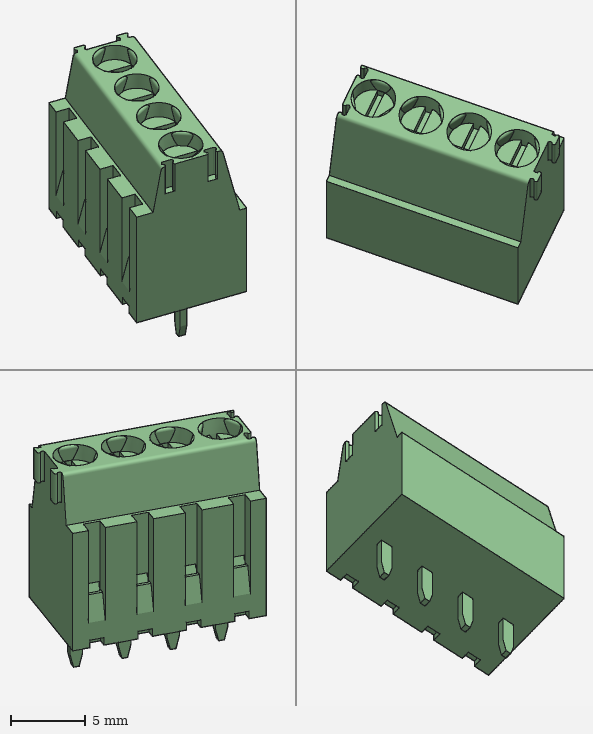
import cadquery as cq
import math

overall_height = 16.1
overall_width = 14.5
pole_count = 4
pole_pitch = 3.5
body_width = pole_count * pole_pitch
body_depth = 8.2
body_height = 12.6
mid_depth = body_depth / 2
pole_centres = [(index + 0.5) * pole_pitch for index in range(pole_count)]

front_shelf_height = 9.0
front_shelf_depth = 1.22
rear_shelf_height = 7.1
rear_shelf_depth = 0.52
top_front_y = 1.85
top_rear_y = 6.39
top_edge_radius = 0.3

hole_top_diameter = 3.0
screw_head_diameter = 2.8
hole_depth = 1.15
screw_slot_width = 0.5
screw_slot_depth = 0.6

pad_brow_distance = 1.29
pad_foot_distance = 1.37
pad_count = 3
pad_start_angle = 90
last_pole_pad_turn = 60

groove_width = 1.2
groove_depth = 0.98
groove_floor_height = 1.9
ledge_height = 3.8
ledge_start_y = 0.5
ramp_width = 1.03
ramp_start_y = 0.72
ramp_top_height = 4.38

notch_width = 1.03
notch_height = 0.58
notch_depth = 0.66

pin_length = overall_height - body_height
pin_width = 0.9
pin_thickness = 0.5
pin_tip_width = 0.4
pin_tip_length = 0.98

rib_centres_y = [2.48, 5.67]
rib_reach = overall_width - body_width
rib_length = 2.3
rib_end_half_width = 0.3
rib_head_half_width = 0.42
rib_neck_half_width = 0.32
rib_waist_half_width = 0.27
rib_root_half_width = 0.35
socket_clearance = 0.02


def make_housing():
    """Stepped side profile run along X, with both long top edges rounded."""
    profile = [
        (0, 0),
        (body_depth, 0),
        (body_depth, rear_shelf_height),
        (body_depth - rear_shelf_depth, rear_shelf_height),
        (top_rear_y, body_height),
        (top_front_y, body_height),
        (front_shelf_depth, front_shelf_height),
        (0, front_shelf_height),
    ]
    housing = cq.Workplane("YZ").polyline(profile).close().extrude(body_width)
    return housing.faces(">Z").edges("|X").fillet(top_edge_radius)


def make_pad(angle):
    """Pad about the Z axis: leaning inner face, rounded over into the top surface."""
    floor_z = body_height - hole_depth
    rim_radius = hole_top_diameter / 2
    round_radius = rim_radius - pad_brow_distance
    diagonal = round_radius * math.sqrt(0.5)
    return (
        cq.Workplane("XZ")
        .moveTo(pad_foot_distance, floor_z)
        .lineTo(pad_brow_distance, body_height - round_radius)
        .threePointArc(
            (rim_radius - diagonal, body_height - round_radius + diagonal),
            (rim_radius, body_height),
        )
        .lineTo(rim_radius, floor_z)
        .close()
        .extrude(rim_radius, both=True)
        .rotate((0, 0, 0), (0, 0, 1), angle)
    )


def make_screw_hole(pad_turn):
    """Empty space of one screw hole about the Z axis, including the driver slot."""
    floor_z = body_height - hole_depth
    space = cq.Workplane("XY").add(
        cq.Solid.makeCone(
            screw_head_diameter / 2, hole_top_diameter / 2, hole_depth, pnt=cq.Vector(0, 0, floor_z)
        )
    )
    driver_slot = (
        cq.Workplane("XY", origin=(0, 0, floor_z - screw_slot_depth))
        .circle(screw_head_diameter / 2)
        .extrude(screw_slot_depth)
        .intersect(cq.Workplane("XY").box(screw_slot_width, screw_head_diameter, 2 * body_height))
    )
    for index in range(pad_count):
        space = space.cut(make_pad(pad_start_angle + pad_turn + index * 360 / pad_count))
    return space.union(driver_slot)


def make_front_groove():
    """Empty space of one front groove, centred on X = 0."""
    profile = [
        (0, groove_floor_height),
        (ledge_start_y, ledge_height),
        (groove_depth, ledge_height),
        (groove_depth, front_shelf_height),
        (0, front_shelf_height),
    ]
    groove = cq.Workplane("YZ").polyline(profile).close().extrude(groove_width / 2, both=True)
    ramp_profile = [
        (ramp_start_y, ledge_height),
        (groove_depth, ledge_height),
        (groove_depth, ramp_top_height),
    ]
    ramp = cq.Workplane("YZ").polyline(ramp_profile).close().extrude(ramp_width / 2, both=True)
    return groove.cut(ramp)


def make_bottom_notch():
    return cq.Workplane("XY").box(notch_width, 2 * notch_depth, 2 * notch_height)


def make_pin():
    """Flat pin hanging from Z = 0, narrowing in X towards its tip."""
    outline = [
        (-pin_width / 2, 0),
        (-pin_width / 2, pin_tip_length - pin_length),
        (-pin_tip_width / 2, -pin_length),
        (pin_tip_width / 2, -pin_length),
        (pin_width / 2, pin_tip_length - pin_length),
        (pin_width / 2, 0),
    ]
    return cq.Workplane("XZ").polyline(outline).close().extrude(pin_thickness / 2, both=True)


def make_rib(clearance=0):
    """Rib with a rounded head and a narrow waist, reaching to -X from X = 0."""
    neck_x = -rib_reach / 2
    head_x = -rib_reach * 3 / 4
    waist_x = -rib_reach / 4
    outline = (
        cq.Workplane("XY", origin=(0, 0, body_height - rib_length))
        .moveTo(0, -rib_root_half_width)
        .lineTo(0, rib_root_half_width)
        .threePointArc((waist_x, rib_waist_half_width), (neck_x, rib_neck_half_width))
        .threePointArc((head_x, rib_head_half_width), (-rib_reach, rib_end_half_width))
        .lineTo(-rib_reach, -rib_end_half_width)
        .threePointArc((head_x, -rib_head_half_width), (neck_x, -rib_neck_half_width))
        .threePointArc((waist_x, -rib_waist_half_width), (0, -rib_root_half_width))
        .close()
    )
    if clearance:
        outline = outline.offset2D(clearance)
    return outline.extrude(rib_length)


result = make_housing()

for index, centre_x in enumerate(pole_centres):
    is_last_pole = index == pole_count - 1
    screw_hole = make_screw_hole(last_pole_pad_turn if is_last_pole else 0)
    result = result.cut(screw_hole.translate((centre_x, mid_depth, 0)))
    result = result.cut(make_front_groove().translate((centre_x, 0, 0)))
    result = result.cut(make_bottom_notch().translate((centre_x, 0, 0)))
    result = result.union(make_pin().translate((centre_x, mid_depth, 0)))

for centre_y in rib_centres_y:
    result = result.cut(make_rib(socket_clearance).translate((body_width, centre_y, 0)))
    result = result.union(make_rib().translate((0, centre_y, 0)))